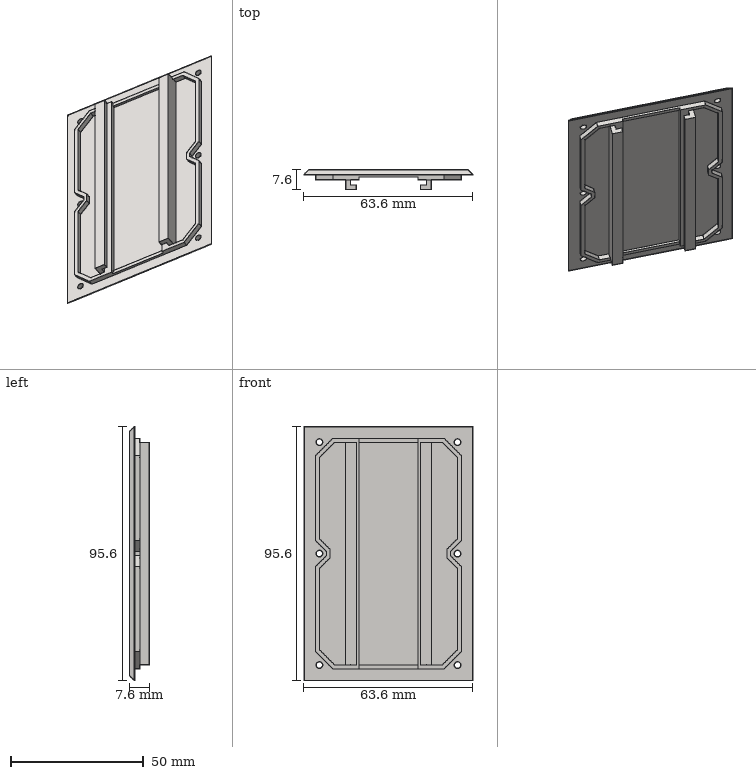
import cadquery as cq
import math

plate_width = 63.6
plate_height = 95.6
plate_thickness = 2.0
plate_bevel = 1.8

hole_diameter = 2.4
hole_x = 26.0
hole_z = 42.0

rim_half_width = 27.4
rim_half_height = 43.4
rim_corner = 6.5
rim_wall = 1.5
rim_rise = 1.9
notch_half_mouth = 4.9
notch_outer_x = 23.3
notch_inner_x = 22.1
low_rim_rise = 0.9

total_depth = 7.6
rail_outer_x = 16.2
rail_web = 1.9
rail_lip_x = 12.0
rail_lip_thickness = 1.8
pad_inner_x = 11.1

inner_half_width = rim_half_width - rim_wall
inner_half_height = rim_half_height - rim_wall
inner_corner = rim_corner - rim_wall * (2 - math.sqrt(2))
inner_half_mouth = notch_half_mouth + rim_wall * (math.sqrt(2) - 1)
rail_rise = total_depth - plate_thickness


def box(x_min, x_max, half_height, y_min, y_max):
    """Block centred on Z = 0 between the given X and Y limits."""
    block = cq.Workplane("XY").box(x_max - x_min, y_max - y_min, 2 * half_height)
    return block.translate(((x_min + x_max) / 2, (y_min + y_max) / 2, 0))


def notched_outline(half_width, half_height, corner, half_mouth, notch_x, rise):
    """Prism toward -Y with cut corners and a 45 degree notch in each long side."""
    half_floor = half_mouth - (half_width - notch_x)
    right_side = [
        (half_width - corner, half_height),
        (half_width, half_height - corner),
        (half_width, half_mouth),
        (notch_x, half_floor),
        (notch_x, -half_floor),
        (half_width, -half_mouth),
        (half_width, corner - half_height),
        (half_width - corner, -half_height),
    ]
    left_side = [(-x, z) for x, z in reversed(right_side)]
    return cq.Workplane("XZ").polyline(right_side + left_side).close().extrude(rise)


def make_plate():
    plate = box(-plate_width / 2, plate_width / 2, plate_height / 2, 0, plate_thickness)
    return plate.faces(">Y").chamfer(plate_bevel)


def make_rim():
    outer = notched_outline(
        rim_half_width, rim_half_height, rim_corner, notch_half_mouth, notch_outer_x, rim_rise
    )
    inner = notched_outline(
        inner_half_width, inner_half_height, inner_corner, inner_half_mouth, notch_inner_x, rim_rise
    )
    gap = box(-pad_inner_x, pad_inner_x, rim_half_height, -rim_rise, -low_rim_rise)
    return outer.cut(inner).cut(gap)


def make_rail():
    """Pad with an L-shaped rail on the +X side; the lip points toward X = 0."""
    pad = box(pad_inner_x, rail_outer_x, rim_half_height, -rim_rise, 0)
    web = box(rail_outer_x - rail_web, rail_outer_x, inner_half_height, -rail_rise, 0)
    lip = box(rail_lip_x, rail_outer_x, inner_half_height, -rail_rise, rail_lip_thickness - rail_rise)
    return pad.union(web).union(lip)


def make_holes():
    centres = [(x, z) for x in (-hole_x, hole_x) for z in (-hole_z, 0, hole_z)]
    return cq.Workplane("XZ").pushPoints(centres).circle(hole_diameter / 2).extrude(-plate_thickness)


rail = make_rail()
result = make_plate().union(make_rim()).union(rail).union(rail.mirror("YZ")).cut(make_holes())